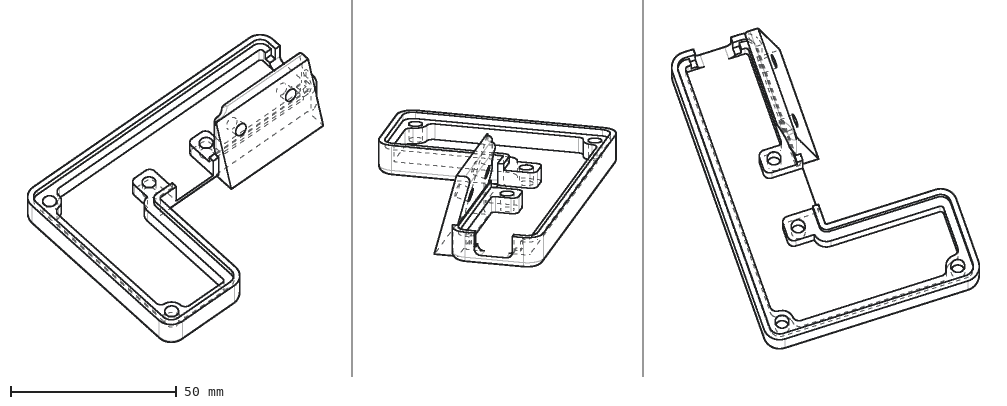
import cadquery as cq
import math

LENGTH_X = 68.3
LENGTH_Y = 96.7
LONG_ARM_WIDTH = 28.3
SHORT_ARM_WIDTH = 30.8
TRAY_HEIGHT = 10.1
FLOOR = 3.0
LEDGE_Z = 8.0
CORNER_RADIUS = 5.0
INNER_CORNER_RADIUS = 0.5
BOTTOM_FILLET = 2.0
LIP = 1.8

BORDER_LEFT = 4.3
BORDER_BOTTOM = 4.7
BORDER_RIGHT = 4.35
BORDER_SHORT_ARM_TOP = 4.8
BORDER_LONG_ARM = 4.1
POCKET_CORNER_RADIUS = 1.0
POCKET_INSIDE_RADIUS = 4.1

SCREW_DIAMETER = 4.2
POST_SCREW_X = 20.5
UPPER_SCREW_Y = 56.45
LOWER_SCREW_Y = 33.5
POST_MARGIN = 4.1
UPPER_POST_TOP_MARGIN = 3.5
POST_CORNER_RADIUS = 1.9
POST_BLEND_RADIUS = 1.0
CORNER_SCREW_INSET = 6.2
CORNER_POST_RADIUS = 3.6
CORNER_POST_BLEND = 2.0

CABLE_X = 14.3
CABLE_WIDTH = 11.9
CABLE_FILLET = 2.0
CABLE_RECESS_WIDTH = 15.95

PLATE_TOP_Z = 26.0
PLATE_LEAN = 15.0
PLATE_TOP_LEFT_X = 22.5
PLATE_TOP_RIGHT_X = 27.2
PLATE_BOTTOM_Y = 54.6
PLATE_LENGTH = 36.9
PLATE_EDGE_FILLET = 1.5
PLATE_HOLE_DIAMETER = 4.1
PLATE_HOLE_Z = 16.7
PLATE_HOLE_YS = (62.6, 82.6)
DRIVER_CLEARANCE_RADIUS = 4.6

POST_LEFT = POST_SCREW_X - POST_MARGIN
OPENING_BOTTOM = LOWER_SCREW_Y + POST_MARGIN
OPENING_TOP = UPPER_SCREW_Y - POST_MARGIN
POCKET_TOP = LENGTH_Y - BORDER_LONG_ARM
POCKET_ARM_RIGHT = LONG_ARM_WIDTH - BORDER_LONG_ARM
POCKET_SHORT_TOP = SHORT_ARM_WIDTH - BORDER_SHORT_ARM_TOP
POCKET_RIGHT = LENGTH_X - BORDER_RIGHT
LEAN_SLOPE = math.tan(math.radians(PLATE_LEAN))
CORNER_SCREWS = (
    (CORNER_SCREW_INSET, CORNER_SCREW_INSET),
    (LENGTH_X - CORNER_SCREW_INSET, CORNER_SCREW_INSET),
)
POST_SCREWS = ((POST_SCREW_X, UPPER_SCREW_Y), (POST_SCREW_X, LOWER_SCREW_Y))


def block(x0, x1, y0, y1, z0, z1):
    """Box between two corners."""
    return cq.Workplane("XY").box(x1 - x0, y1 - y0, z1 - z0, centered=False).translate((x0, y0, z0))


def upright_cylinder(x, y, radius):
    """Vertical cylinder as tall as the whole part."""
    return cq.Workplane("XY").center(x, y).circle(radius).extrude(PLATE_TOP_Z)


def round_upright_edges(solid, radius, points):
    """Fillet the vertical edges that pass through the given (x, y) points."""
    reach = 0.05
    for x, y in points:
        near = cq.selectors.BoxSelector((x - reach, y - reach, -reach), (x + reach, y + reach, PLATE_TOP_Z))
        solid = solid.edges("|Z").edges(near).fillet(radius)
    return solid


def tray_outline():
    """Solid L with rounded upright edges."""
    inside = (LONG_ARM_WIDTH, SHORT_ARM_WIDTH)
    short_arm = [(0, 0), (LENGTH_X, 0), (LENGTH_X, SHORT_ARM_WIDTH)]
    long_arm = [(LONG_ARM_WIDTH, LENGTH_Y), (0, LENGTH_Y)]
    solid = cq.Workplane("XY").polyline(short_arm + [inside] + long_arm).close().extrude(TRAY_HEIGHT)
    solid = round_upright_edges(solid, CORNER_RADIUS, short_arm + long_arm)
    return round_upright_edges(solid, INNER_CORNER_RADIUS, [inside])


def lip_recess(outline):
    """Space above the ledge, one lip width inside the outer wall."""
    inner = outline.faces(">Z").wires().toPending().offset2D(-LIP)
    return inner.extrude(LEDGE_Z - TRAY_HEIGHT, combine=False)


def leave_corner_posts(space):
    """Leave a round post in both lower pocket corners, blended into the borders."""
    for (x, y), wall_x in zip(CORNER_SCREWS, (BORDER_LEFT, POCKET_RIGHT)):
        post = upright_cylinder(x, y, CORNER_POST_RADIUS)
        corner = block(min(x, wall_x), max(x, wall_x), BORDER_BOTTOM, y, 0, TRAY_HEIGHT)
        space = space.cut(post).cut(corner)
        along_y = math.sqrt(CORNER_POST_RADIUS**2 - (wall_x - x) ** 2)
        along_x = math.sqrt(CORNER_POST_RADIUS**2 - (BORDER_BOTTOM - y) ** 2)
        inward = math.copysign(along_x, LENGTH_X / 2 - x)
        crossings = [(wall_x, y + along_y), (x + inward, BORDER_BOTTOM)]
        space = round_upright_edges(space, CORNER_POST_BLEND, crossings)
    return space


def square_post(bottom, top):
    """Post with rounded free corners that reaches from the long arm's border to its screw."""
    post = block(POST_LEFT, LONG_ARM_WIDTH, bottom, top, 0, TRAY_HEIGHT)
    return round_upright_edges(post, POST_CORNER_RADIUS, [(POST_LEFT, bottom), (POST_LEFT, top)])


def leave_upper_post(space):
    """Leave the upper square post, blended into the border above it."""
    top = UPPER_SCREW_Y + UPPER_POST_TOP_MARGIN
    space = space.cut(square_post(OPENING_TOP, top))
    return round_upright_edges(space, POST_BLEND_RADIUS, [(POCKET_ARM_RIGHT, top)])


def leave_lower_post(space):
    """Leave the lower square post."""
    return space.cut(square_post(LOWER_SCREW_Y - POST_MARGIN, OPENING_BOTTOM))


def pocket():
    """Space between floor and ledge, with the screw posts left standing."""
    top_left = (BORDER_LEFT, POCKET_TOP)
    top_right = (POCKET_ARM_RIGHT, POCKET_TOP)
    inside = (POCKET_ARM_RIGHT, POCKET_SHORT_TOP)
    right_top = (POCKET_RIGHT, POCKET_SHORT_TOP)
    outline = [
        (BORDER_LEFT, BORDER_BOTTOM),
        (POCKET_RIGHT, BORDER_BOTTOM),
        right_top,
        inside,
        top_right,
        top_left,
    ]
    height = LEDGE_Z - FLOOR
    space = cq.Workplane("XY", origin=(0, 0, FLOOR)).polyline(outline).close().extrude(height)
    space = round_upright_edges(space, POCKET_CORNER_RADIUS, [top_left, top_right, right_top])
    space = round_upright_edges(space, POCKET_INSIDE_RADIUS, [inside])
    space = leave_corner_posts(space)
    space = leave_upper_post(space)
    return leave_lower_post(space)


def cable_opening():
    """Slot with rounded bottom corners through the +Y wall, with a wider recess behind the lip."""
    half_width = CABLE_WIDTH / 2
    slot = block(CABLE_X - half_width, CABLE_X + half_width, POCKET_TOP, LENGTH_Y, FLOOR, TRAY_HEIGHT)
    slot = slot.edges("|Y and <Z").fillet(CABLE_FILLET)
    half_recess = CABLE_RECESS_WIDTH / 2
    recess_z = FLOOR + CABLE_FILLET
    lip_y = LENGTH_Y - LIP
    recess = block(CABLE_X - half_recess, CABLE_X + half_recess, POCKET_TOP, lip_y, recess_z, LEDGE_Z)
    return slot.union(recess)


def screw_holes():
    """Blind holes in the four posts, down to the floor."""
    depth = TRAY_HEIGHT - FLOOR
    holes = cq.Workplane("XY", origin=(0, 0, FLOOR)).pushPoints(CORNER_SCREWS + POST_SCREWS)
    return holes.circle(SCREW_DIAMETER / 2).extrude(depth)


def tray():
    """L-shaped tray with ledge, posts, side opening and cable opening."""
    outline = tray_outline()
    body = outline.faces("<Z").edges().fillet(BOTTOM_FILLET)
    side_opening = block(POST_SCREW_X, LONG_ARM_WIDTH, OPENING_BOTTOM, OPENING_TOP, FLOOR, TRAY_HEIGHT)
    for space in (lip_recess(outline), pocket(), side_opening, cable_opening(), screw_holes()):
        body = body.cut(space)
    return body


def face_x(top_x, z):
    """X of a leaning plate face at height z, from its X at the plate top."""
    return top_x + (PLATE_TOP_Z - z) * LEAN_SLOPE


def round_top_edge(solid):
    """Fillet the top edges, except those along the right face and both end faces."""
    return solid.faces(">Z").edges("not(>X or >Y or <Y)").fillet(PLATE_EDGE_FILLET)


def plate_blank():
    """Leaning plate that runs down the outside of the long arm to the tray bottom."""
    root_x = face_x(PLATE_TOP_LEFT_X, TRAY_HEIGHT)
    profile = [
        (root_x, 0),
        (face_x(PLATE_TOP_RIGHT_X, 0), 0),
        (PLATE_TOP_RIGHT_X, PLATE_TOP_Z),
        (PLATE_TOP_LEFT_X, PLATE_TOP_Z),
        (root_x, TRAY_HEIGHT),
    ]
    top_y = PLATE_BOTTOM_Y + PLATE_LENGTH
    return cq.Workplane("XZ", origin=(0, top_y, 0)).polyline(profile).close().extrude(PLATE_LENGTH)


def channel(right_x):
    """Full-height space from the upper post's screw to right_x, between plate end and screw."""
    return block(POST_SCREW_X, right_x, PLATE_BOTTOM_Y, UPPER_SCREW_Y, 0, PLATE_TOP_Z)


def outside_rounded_corner(wall_x):
    """Material to remove so that the channel wall turns into the plate's end in an arc."""
    radius = UPPER_SCREW_Y - PLATE_BOTTOM_Y
    reach = 2 * radius
    corner = block(wall_x, wall_x + reach, PLATE_BOTTOM_Y, PLATE_BOTTOM_Y + reach, 0, PLATE_TOP_Z)
    corner = round_upright_edges(corner, radius, [(wall_x, PLATE_BOTTOM_Y)])
    return channel(wall_x + radius).cut(round_top_edge(corner))


def with_driver_clearance(body):
    """Cut screwdriver clearance above the upper post and round the edges around it."""
    wall_x = POST_SCREW_X + DRIVER_CLEARANCE_RADIUS
    driver = upright_cylinder(POST_SCREW_X, UPPER_SCREW_Y, DRIVER_CLEARANCE_RADIUS)
    body = round_top_edge(body.cut(driver).cut(channel(wall_x)))

    edge_x = (PLATE_TOP_LEFT_X + wall_x) / 2
    edge_y = UPPER_SCREW_Y + math.sqrt(DRIVER_CLEARANCE_RADIUS**2 - (edge_x - POST_SCREW_X) ** 2)
    edge_z = PLATE_TOP_Z - (edge_x - PLATE_TOP_LEFT_X) / LEAN_SLOPE
    on_edge = cq.selectors.NearestToPointSelector((edge_x, edge_y, edge_z))
    body = body.edges(on_edge).fillet(PLATE_EDGE_FILLET)
    return body.cut(outside_rounded_corner(wall_x))


def plate_hole(y):
    """Hole square to the leaning faces, long enough to cross the plate."""
    across = cq.Vector(1, 0, LEAN_SLOPE).normalized()
    reach = PLATE_TOP_RIGHT_X - PLATE_TOP_LEFT_X
    middle = cq.Vector(face_x(PLATE_TOP_LEFT_X, PLATE_HOLE_Z), y, PLATE_HOLE_Z)
    radius = PLATE_HOLE_DIAMETER / 2
    return cq.Workplane(cq.Solid.makeCylinder(radius, 3 * reach, middle - across * reach, across))


def plate():
    """Leaning mounting plate with driver clearance and two holes."""
    body = with_driver_clearance(plate_blank())
    for y in PLATE_HOLE_YS:
        body = body.cut(plate_hole(y))
    return body


result = tray().union(plate())